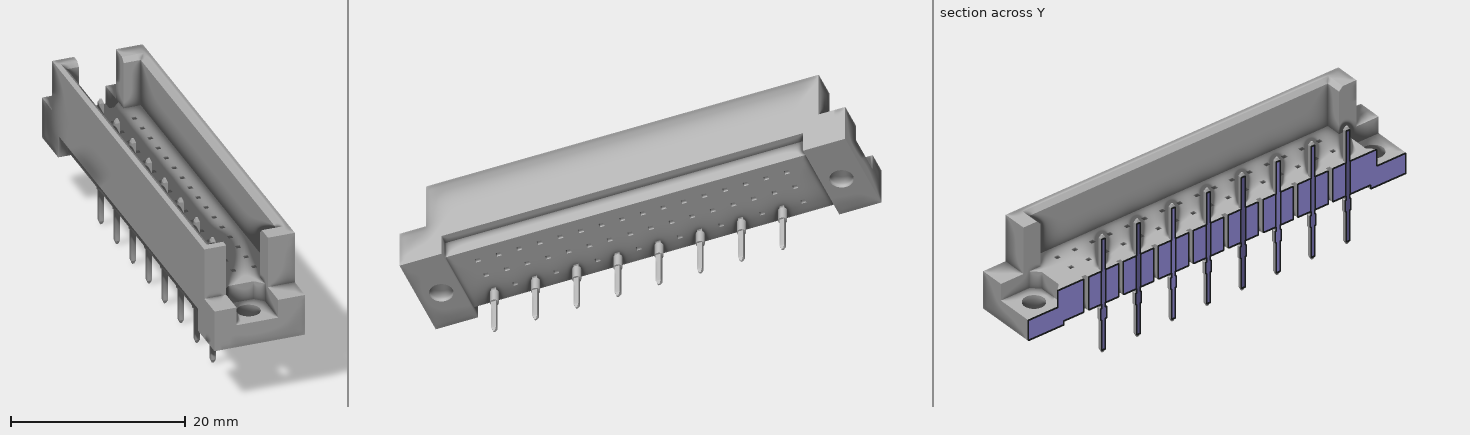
import cadquery as cq

length = 55.0
width = 11.1
height = 11.6

shroud_length = 48.45
step_height = 5.15

relief_length = 44.6
relief_height = 2.85
relief_depth = 1.2
base_clearance = 0.52

pocket_width = 8.7
pocket_rear_length = 43.45
pocket_front_length = 45.45
lead_in = 0.55

slot_rear = 2.25
slot_front = -2.85
slot_center = (slot_rear + slot_front) / 2
slot_width = slot_rear - slot_front
slot_floor = relief_height
slot_inner_x = 22.35
slot_corner = 1.0
mount_spacing = 49.4
mount_diameter = 2.8

columns = 16
rows = 3
row_length = 38.1
pitch = row_length / (columns - 1)
contact_width = 0.6
contact_depth = 0.55

shaft_top = 9.5
shaft_bottom = -5.85
pin_tip_length = 0.46
pin_tip_size = 0.2
collar_diameter = 1.05
collar_length = 1.65


def box(size_x, size_y, bottom, top, center_y=0.0):
    """Box centred on X = 0 between two heights."""
    return (
        cq.Workplane("XY", origin=(0, center_y, bottom))
        .rect(size_x, size_y)
        .extrude(top - bottom)
    )


def column_x(column):
    return (column - (columns - 1) / 2) * pitch


def row_y(row):
    return (row - (rows - 1) / 2) * pitch


def pocket_half(half_length, side):
    """Half of the pocket with its mouth bevel; side is +1 for the rear half, -1 for the front."""
    side_center = side * pocket_width / 4
    straight = box(half_length, pocket_width / 2, step_height, height, side_center)
    mouth = (
        cq.Workplane("XY", origin=(0, 0, height - lead_in))
        .rect(half_length, pocket_width)
        .workplane(offset=lead_in)
        .rect(half_length + 2 * lead_in, pocket_width + 2 * lead_in)
        .loft(combine=True)
    )
    side_space = box(length, width, step_height, height, side * width / 2)
    return straight.union(mouth.intersect(side_space))


def end_slot():
    """Slot with chamfered inner corners at the -X end."""
    return (
        cq.Workplane("XY", origin=(0, 0, slot_floor))
        .moveTo(-length / 2, slot_front)
        .lineTo(-slot_inner_x - slot_corner, slot_front)
        .lineTo(-slot_inner_x, slot_front + slot_corner)
        .lineTo(-slot_inner_x, slot_rear - slot_corner)
        .lineTo(-slot_inner_x - slot_corner, slot_rear)
        .lineTo(-length / 2, slot_rear)
        .close()
        .extrude(step_height - slot_floor)
    )


def contact_holes():
    points = [(column_x(column), row_y(row)) for column in range(columns) for row in range(rows)]
    return cq.Workplane("XY").pushPoints(points).rect(contact_width, contact_depth).extrude(step_height)


def mount_holes():
    points = [(-mount_spacing / 2, slot_center), (mount_spacing / 2, slot_center)]
    return cq.Workplane("XY").pushPoints(points).circle(mount_diameter / 2).extrude(step_height)


def underside_relief():
    """Clearance below the middle plus the set-back along both long sides."""
    core = box(relief_length, width - 2 * relief_depth, base_clearance, relief_height)
    return box(relief_length, width, 0, relief_height).cut(core)


def make_housing():
    body = box(length, width, 0, step_height)
    body = body.union(box(shroud_length, width, step_height, height))
    body = body.cut(pocket_half(pocket_rear_length, 1))
    body = body.cut(pocket_half(pocket_front_length, -1))
    body = body.cut(box(length, slot_width, step_height, height, slot_center))
    slot = end_slot()
    body = body.cut(slot).cut(slot.mirror("YZ"))
    return body.cut(underside_relief()).cut(mount_holes()).cut(contact_holes())


def pin_tip(base, direction):
    """Tapered end starting at height base and pointing up (+1) or down (-1)."""
    return (
        cq.Workplane("XY", origin=(0, 0, base))
        .rect(contact_width, contact_depth)
        .workplane(offset=direction * pin_tip_length)
        .rect(pin_tip_size, pin_tip_size)
        .loft(combine=True)
    )


def make_pin():
    """Rectangular contact with tapered ends and a round collar below the housing."""
    collar = cq.Workplane("XY").circle(collar_diameter / 2).extrude(-collar_length)
    shaft = box(contact_width, contact_depth, shaft_bottom, shaft_top)
    return shaft.union(pin_tip(shaft_top, 1)).union(pin_tip(shaft_bottom, -1)).union(collar)


housing = make_housing()

pin = make_pin()
pins = [pin.translate((column_x(column), row_y(0), 0)) for column in range(1, columns, 2)]

result = cq.Compound.makeCompound([housing.val(), *[placed.val() for placed in pins]])